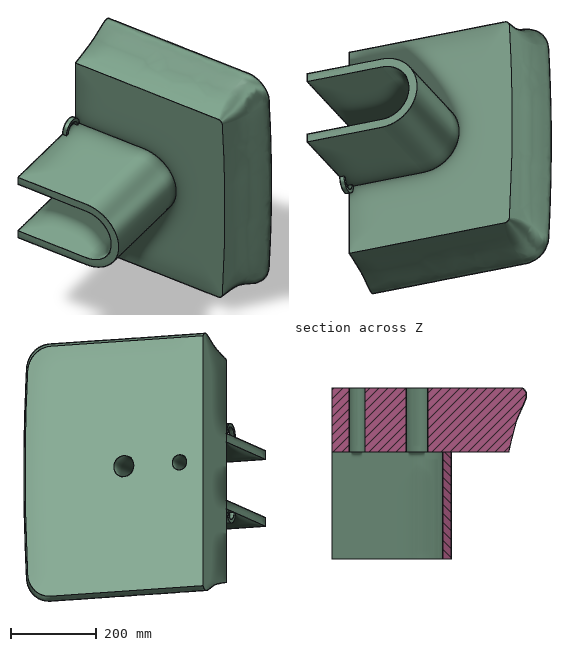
import cadquery as cq
import math

BLOCK_LENGTH = 455.5
BLOCK_HALF_HEIGHT = 305.0
BLOCK_DEPTH = 150.0
TOTAL_DEPTH = 400.0
FRONT_Y = -BLOCK_DEPTH

END_BOW_RADIUS = 4579.0

RIM_INSETS = [8.5, 1.0, 12.0, 22.5, 30.0, 35.5, 41.0]

BACK_CORNER_RADIUS = 58.0
FRONT_CORNER_RADIUS = 12.0
CORNER_SHRINK_POWER = 2

BLOCK_HOLES = [
    (59.0, 36.0),
    (199.0, 50.0),
]

BRACKET_OUTER_RADIUS = 90.0
BRACKET_WALL = 21.0
BRACKET_LEG_LENGTH = 190.0
BRACKET_DEPTH = TOTAL_DEPTH - BLOCK_DEPTH

RING_OUTER_RADIUS = 28.0
RING_INNER_RADIUS = 19.5
RING_WIDTH = 11.0


def block_section(depth_fraction, inset):
    """Closed outline of the block at one fraction of the way from back (0) to front (1)."""
    radius_drop = BACK_CORNER_RADIUS - FRONT_CORNER_RADIUS
    corner_radius = BACK_CORNER_RADIUS - radius_drop * depth_fraction**CORNER_SHRINK_POWER
    half_height = BLOCK_HALF_HEIGHT - inset
    end_x = BLOCK_LENGTH - inset
    bow_radius = END_BOW_RADIUS - inset
    bow_center_x = end_x - bow_radius

    center_z = half_height - corner_radius
    center_distance = bow_radius - corner_radius
    center_x = bow_center_x + math.sqrt(center_distance**2 - center_z**2)
    bow_angle = math.asin(center_z / center_distance)
    bow_x = bow_center_x + bow_radius * math.cos(bow_angle)
    bow_z = bow_radius * math.sin(bow_angle)

    middle_angle = (bow_angle + math.pi / 2) / 2
    middle_x = center_x + corner_radius * math.cos(middle_angle)
    middle_z = center_z + corner_radius * math.sin(middle_angle)

    return (
        cq.Workplane("XZ", origin=(0, FRONT_Y * depth_fraction, 0))
        .moveTo(0, -half_height)
        .lineTo(center_x, -half_height)
        .threePointArc((middle_x, -middle_z), (bow_x, -bow_z))
        .threePointArc((end_x, 0), (bow_x, bow_z))
        .threePointArc((middle_x, middle_z), (center_x, half_height))
        .lineTo(0, half_height)
        .close()
        .val()
    )


def make_block():
    """Block with a flared, rounded rim and two through holes."""
    step_count = len(RIM_INSETS) - 1
    sections = [block_section(step / step_count, inset) for step, inset in enumerate(RIM_INSETS)]
    block = cq.Workplane(cq.Solid.makeLoft(sections))
    for hole_x, diameter in BLOCK_HOLES:
        hole = cq.Workplane("XZ").center(hole_x, 0).circle(diameter / 2).extrude(BLOCK_DEPTH)
        block = block.cut(hole)
    return block


def bracket_outline(radius):
    """U outline, open-ended legs closed by a line at X = 0, on the front face."""
    return (
        cq.Workplane("XZ", origin=(0, FRONT_Y, 0))
        .moveTo(0, -radius)
        .lineTo(BRACKET_LEG_LENGTH, -radius)
        .threePointArc((BRACKET_LEG_LENGTH + radius, 0), (BRACKET_LEG_LENGTH, radius))
        .lineTo(0, radius)
        .close()
    )


def make_bracket():
    """U-shaped bracket of constant wall thickness."""
    outer = bracket_outline(BRACKET_OUTER_RADIUS).extrude(BRACKET_DEPTH)
    inner = bracket_outline(BRACKET_OUTER_RADIUS - BRACKET_WALL).extrude(BRACKET_DEPTH)
    return outer.cut(inner)


def make_half_ring(side):
    """Half ring on one leg: side is +1 for the upper leg, -1 for the lower leg."""
    base_z = side * BRACKET_OUTER_RADIUS
    center_y = FRONT_Y - RING_OUTER_RADIUS
    outer_tip_z = base_z + side * RING_OUTER_RADIUS
    inner_tip_z = base_z + side * RING_INNER_RADIUS
    return (
        cq.Workplane("YZ")
        .moveTo(center_y - RING_OUTER_RADIUS, base_z)
        .threePointArc((center_y, outer_tip_z), (center_y + RING_OUTER_RADIUS, base_z))
        .lineTo(center_y + RING_INNER_RADIUS, base_z)
        .threePointArc((center_y, inner_tip_z), (center_y - RING_INNER_RADIUS, base_z))
        .close()
        .extrude(RING_WIDTH)
    )


block = make_block()
bracket = make_bracket()
half_rings = [make_half_ring(side) for side in (1, -1)]

result = cq.Compound.makeCompound(
    [block.val(), bracket.val(), *[ring.val() for ring in half_rings]]
)